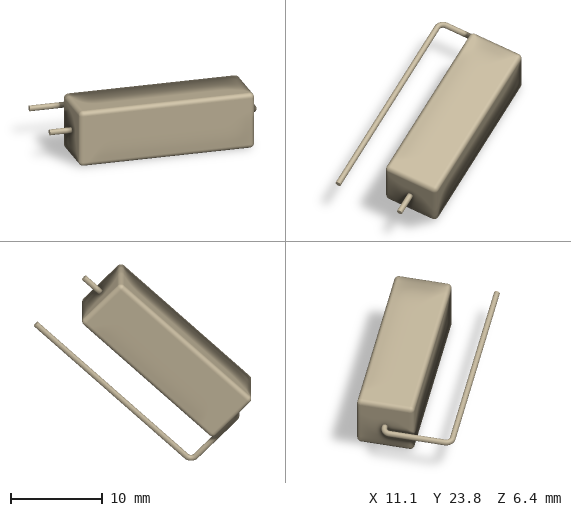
import cadquery as cq

body_side = 6.4
body_length = 20.0
edge_radius = 0.5

wire_diameter = 0.65
lead_pitch = 7.62
bend_radius = 0.75
front_overhang = 2.5
back_overhang = 1.3

back_face_y = body_length / 2
front_face_y = -back_face_y
lead_tip_y = front_face_y - front_overhang
crossbar_y = back_face_y + back_overhang - wire_diameter / 2
bend_start_y = crossbar_y - bend_radius


def make_body():
    """Square block with every edge rounded."""
    return cq.Workplane("XY").box(body_side, body_length, body_side).edges().fillet(edge_radius)


def make_straight_lead():
    """Short lead from the body centre out through the front face."""
    return (
        cq.Workplane("XZ")
        .circle(wire_diameter / 2)
        .extrude(-lead_tip_y)
    )


def make_folded_lead():
    """Lead that leaves the back face, bends twice and returns beside the body."""
    path = (
        cq.Workplane("XY")
        .moveTo(0, 0)
        .lineTo(0, bend_start_y)
        .tangentArcPoint((-bend_radius, crossbar_y), relative=False)
        .lineTo(-lead_pitch + bend_radius, crossbar_y)
        .tangentArcPoint((-lead_pitch, bend_start_y), relative=False)
        .lineTo(-lead_pitch, lead_tip_y)
    )
    return cq.Workplane("XZ").circle(wire_diameter / 2).sweep(path)


result = make_body().union(make_straight_lead()).union(make_folded_lead())